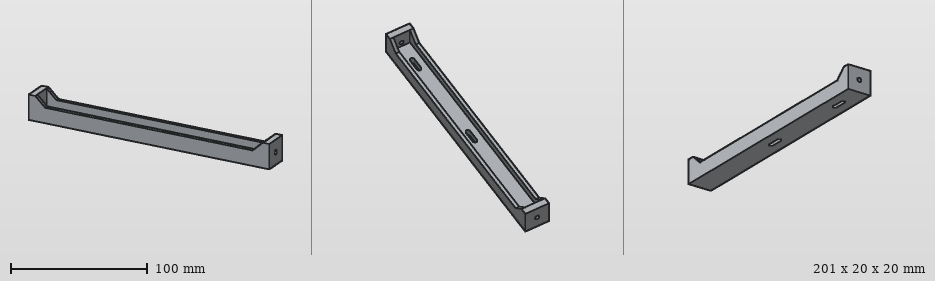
import cadquery as cq

length = 201.0
width = 20.0
height = 20.0

end_wall = 5.6
side_wall = 3.0
floor_thickness = 6.0
rail_height = 12.3
ramp_length = 8.5

hole_diameter = 3.5
slot_length = 13.3
slot_width = 3.5
first_slot_x = 25.7
slot_pitch = 80.5
slot_count = 2


def make_body():
    """Side profile with tall ends ramping down to the rails, centred on Y."""
    ramp_end = end_wall + ramp_length
    profile = [
        (0, 0),
        (length, 0),
        (length, height),
        (length - end_wall, height),
        (length - ramp_end, rail_height),
        (ramp_end, rail_height),
        (end_wall, height),
        (0, height),
    ]
    return cq.Workplane("XZ").polyline(profile).close().extrude(width / 2, both=True)


def make_channel():
    """Rectangular trough between the end walls and the side rails."""
    return (
        cq.Workplane("XY", origin=(length / 2, 0, floor_thickness))
        .rect(length - 2 * end_wall, width - 2 * side_wall)
        .extrude(height - floor_thickness)
    )


def make_end_holes():
    """One bore along X that pierces both end walls at their centres."""
    return (
        cq.Workplane("YZ", origin=(0, 0, height / 2))
        .circle(hole_diameter / 2)
        .extrude(length)
    )


def make_floor_slots():
    """Round-ended slots through the floor on the centre line."""
    centres = [(first_slot_x + i * slot_pitch, 0) for i in range(slot_count)]
    return (
        cq.Workplane("XY")
        .pushPoints(centres)
        .slot2D(slot_length, slot_width)
        .extrude(floor_thickness)
    )


result = (
    make_body()
    .cut(make_channel())
    .cut(make_end_holes())
    .cut(make_floor_slots())
    .translate((-length / 2, 0, 0))
)